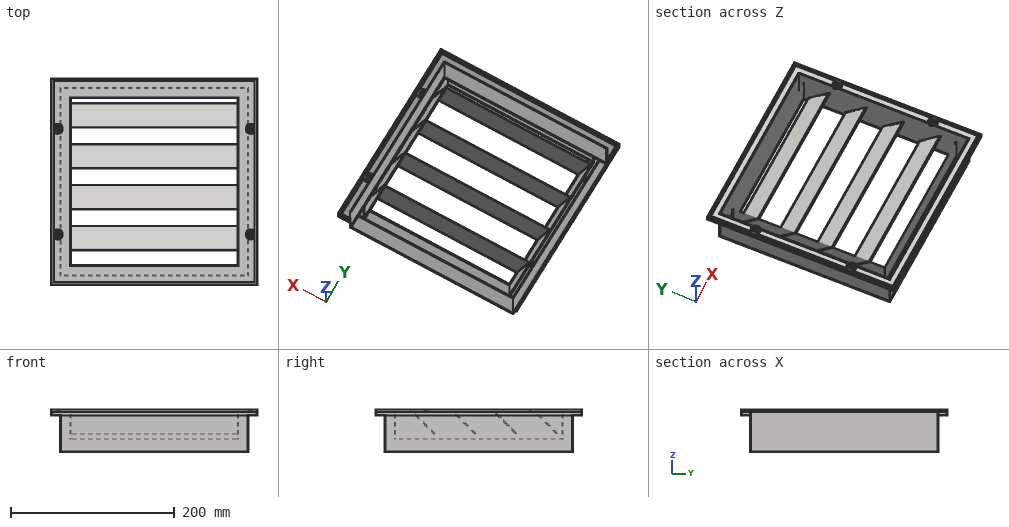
import cadquery as cq
frame_side = 252.0
total_height = 52.0
sheet = 1.0

cover_depth = 3.0
cover_rim = 3.3
cover_bottom = total_height - cover_depth
opening_side = 204.0
sleeve_side = opening_side + 2 * sheet
sleeve_bottom = 16.0

flange_depth = 4.4
flange_sheet = 0.4
flange_bottom = cover_bottom - flange_depth
duct_side = 230.0
duct_inside = duct_side - 2 * sheet

screw_spacing_x = 236.0
screw_spacing_y = 129.0
boss_diameter = 12.0
countersink_diameter = 9.4
clearance_diameter = 5.2
countersink_depth = (countersink_diameter - clearance_diameter) / 2
pilot_diameter = 1.5

slat_count = 4
slat_thickness = 1.5
slat_width = 40.0 + slat_thickness
slat_tilt = 45.0
slat_pitch = 50.0
slat_row_middle_y = 6.0
slat_middle_z = 37.0


def square_block(side, bottom, top):
    """Square block centred on the Z axis between two levels."""
    return cq.Workplane("XY", origin=(0, 0, bottom)).rect(side, side).extrude(top - bottom)


def tray(bottom, top, skin, rim):
    """Square sheet with a rim turned down along its outer edge, open underneath."""
    hollow = square_block(frame_side - 2 * rim, bottom, top - skin)
    return square_block(frame_side, bottom, top).cut(hollow)


def screw_cylinders(diameter, bottom, top):
    """Upright cylinders at the four screw positions."""
    centres = cq.Workplane("XY", origin=(0, 0, bottom)).rarray(screw_spacing_x, screw_spacing_y, 2, 2)
    return centres.circle(diameter / 2).extrude(top - bottom)


def countersinks():
    """Cones at the four screw positions, narrowing downwards at 45 degrees from the top face."""
    centres = cq.Workplane("XY", origin=(0, 0, total_height)).rarray(
        screw_spacing_x, screw_spacing_y, 2, 2
    )
    cone = cq.Solid.makeCone(
        countersink_diameter / 2,
        clearance_diameter / 2,
        countersink_depth,
        dir=cq.Vector(0, 0, -1),
    )
    return centres.eachpoint(lambda place: cone.moved(place))


def make_slat(middle_y):
    """One tilted slat reaching from sleeve wall to sleeve wall."""
    slat = (
        cq.Workplane("YZ", origin=(-opening_side / 2, 0, 0))
        .slot2D(slat_width, slat_thickness)
        .extrude(opening_side)
    )
    slat = slat.rotate((0, 0, 0), (1, 0, 0), -slat_tilt)
    return slat.translate((0, middle_y, slat_middle_z))


def make_louvre_insert():
    """Cover, screw bosses, sleeve and slats as one body."""
    insert = tray(cover_bottom, total_height, sheet, cover_rim)
    insert = insert.union(screw_cylinders(boss_diameter, cover_bottom, total_height))
    insert = insert.cut(screw_cylinders(clearance_diameter, cover_bottom, total_height))
    insert = insert.cut(countersinks())

    insert = insert.union(square_block(sleeve_side, sleeve_bottom, total_height))
    insert = insert.cut(square_block(opening_side, sleeve_bottom, total_height))

    first_slat_y = slat_row_middle_y - slat_pitch * (slat_count - 1) / 2
    for index in range(slat_count):
        insert = insert.union(make_slat(first_slat_y + index * slat_pitch))
    return insert


def make_duct_frame():
    """Thin-walled square duct with an outward flange tray and pilot holes for the screws."""
    frame = tray(flange_bottom, cover_bottom, flange_sheet, sheet)
    frame = frame.union(square_block(duct_side, 0, cover_bottom))
    frame = frame.cut(square_block(duct_inside, 0, cover_bottom))
    return frame.cut(screw_cylinders(pilot_diameter, flange_bottom, cover_bottom))


louvre_insert = make_louvre_insert()
duct_frame = make_duct_frame()
result = cq.Compound.makeCompound([louvre_insert.val(), duct_frame.val()])